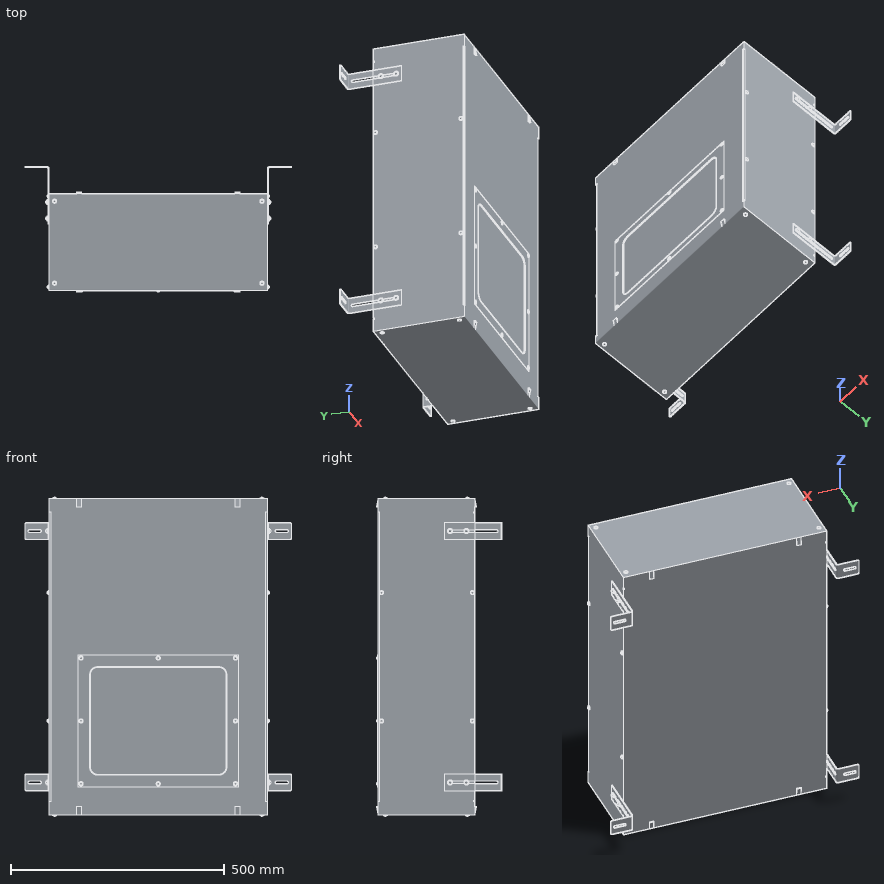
import cadquery as cq

body_width = 513.0
body_height = 743.0
front_y = -144.0
back_y = 84.0
body_depth = back_y - front_y
body_mid_y = (front_y + back_y) / 2
top_bend_radius = 1.35

rebate_width = 5.0
rebate_depth = 3.0
rebate_length = 680.0
relief_size = 3.0
relief_depth = 2.0

panel_width = 376.0
panel_height = 309.0
panel_thickness = 1.0
panel_z = -150.5
window_width = 322.0
window_height = 254.5
window_radius = 19.5
window_recess = 1.5
pane_recess = 2.0
pane_inset = 1.5

flange_height_share = 1 / 3
dome_width_share = 0.7
screw_diameter = 10.0
panel_screw_height = 2.6
panel_screw_x = 181.0
panel_screw_dz = 147.5
end_screw_height = 2.6
end_screw_x = 243.0
end_screw_y = (66.0, -126.5)
side_screw_height = 4.5
side_screw_y = (78.0, -135.5)
side_screw_z = 150.5

tab_x = 186.0
tab_width = 11.0
tab_length = 18.0
tab_end_gap = 2.0
tab_rise = 3.4

bracket_z = 295.0
bracket_height = 40.0
bracket_thickness = 2.0
bracket_bend_radius = 4.5
bracket_back_y = 147.1
bracket_front_y = 13.0
flange_end_x = 313.0
flange_corner_radius = 4.0
slot_width = 6.0
flange_slot_x = (275.0, 305.5)
web_slot_y = (20.0, 138.0)
bolt_y = (64.0, 25.5)
bolt_diameter = 12.0
bolt_height = 5.6

half_width = body_width / 2
half_height = body_height / 2

embed = 1.5


def box_between(x, y, z):
    """Box spanning the given (low, high) ranges."""
    size = (x[1] - x[0], y[1] - y[0], z[1] - z[0])
    return cq.Workplane("XY").box(*size, centered=False).translate((x[0], y[0], z[0]))


def dome_head(diameter, height, base, direction):
    """Screw head standing on a face: a flat flange, sunk slightly into the face, and a smaller dome."""
    flange_radius = diameter / 2
    flange_height = height * flange_height_share
    dome_base_radius = dome_width_share * flange_radius
    dome_rise = height - flange_height
    dome_radius = (dome_base_radius**2 + dome_rise**2) / (2 * dome_rise)
    head = (
        cq.Workplane("XZ")
        .moveTo(0, -embed)
        .lineTo(flange_radius, -embed)
        .lineTo(flange_radius, flange_height)
        .lineTo(dome_base_radius, flange_height)
        .radiusArc((0, height), -dome_radius)
        .close()
        .revolve(360, (0, 0), (0, 1))
    )
    plane = cq.Plane(origin=base, normal=direction)
    return head.val().moved(cq.Location(plane))


def make_body():
    body = cq.Workplane("XY").box(body_width, body_depth, body_height)
    body = body.translate((0, body_mid_y, 0))
    body = body.edges("<Y and |X").fillet(top_bend_radius)
    for side in (-1, 1):
        rebate = cq.Workplane("XY").box(2 * rebate_width, 2 * rebate_depth, rebate_length)
        body = body.cut(rebate.translate((side * half_width, front_y, 0)))
        for end in (-1, 1):
            relief = cq.Workplane("XY").box(2 * relief_depth, 2 * relief_size, relief_size)
            relief_z = end * (rebate_length - relief_size) / 2
            body = body.cut(relief.translate((side * half_width, back_y, relief_z)))
    return body


def add_window_panel(body):
    panel_y = front_y - panel_thickness
    panel = cq.Workplane("XY").box(panel_width, panel_thickness + embed, panel_height)
    panel = panel.translate((0, panel_y + (panel_thickness + embed) / 2, panel_z))
    body = body.union(panel)
    for inset, recess in ((0, window_recess), (pane_inset, pane_recess)):
        opening = cq.Workplane("XY").box(window_width - 2 * inset, 2 * recess, window_height - 2 * inset)
        opening = opening.edges("|Y").fillet(window_radius - inset)
        body = body.cut(opening.translate((0, panel_y, panel_z)))
    return body


def make_tab(side, end, face_y, outward):
    """Wedge that rises from the end of the body towards its middle."""
    inside_y = face_y - outward * embed
    tip_y = face_y + outward * tab_rise
    start_z = end * (half_height - tab_end_gap)
    tip_z = end * (half_height - tab_end_gap - tab_length)
    wedge = (
        cq.Workplane("YZ")
        .polyline([(inside_y, start_z), (face_y, start_z), (tip_y, tip_z), (inside_y, tip_z)])
        .close()
        .extrude(tab_width / 2, both=True)
    )
    return wedge.translate((side * tab_x, 0, 0))


def make_right_bracket():
    """Angle bracket on the +X side, centred on Z = 0, with slots in both legs."""
    web_x = (half_width, half_width + bracket_thickness)
    half_bracket = bracket_height / 2
    span_z = (-half_bracket, half_bracket)
    inner_radius = bracket_bend_radius - bracket_thickness
    web = box_between(web_x, (bracket_front_y, bracket_back_y), span_z)
    flange_y = (bracket_back_y - bracket_thickness, bracket_back_y)
    flange = box_between((half_width, flange_end_x), flange_y, span_z)
    flange = flange.edges(">X and |Y").fillet(flange_corner_radius)
    bracket = web.union(flange)
    bracket = bracket.edges(">Y and <X").fillet(bracket_bend_radius)
    inner_corner = cq.selectors.NearestToPointSelector((web_x[1], flange_y[0], 0))
    bracket = bracket.edges("|Z").edges(inner_corner).fillet(inner_radius)

    flange_slot = (
        cq.Workplane("XZ", origin=(sum(flange_slot_x) / 2, 0, 0))
        .slot2D(flange_slot_x[1] - flange_slot_x[0], slot_width)
        .extrude(-2 * bracket_back_y)
    )
    web_slot = (
        cq.Workplane("YZ", origin=(half_width, sum(web_slot_y) / 2, 0))
        .slot2D(web_slot_y[1] - web_slot_y[0], slot_width)
        .extrude(bracket_thickness)
    )
    bracket = bracket.cut(flange_slot).cut(web_slot)
    for y in bolt_y:
        bolt = dome_head(bolt_diameter, bolt_height, (web_x[1], y, 0), (1, 0, 0))
        shank = (
            cq.Workplane("YZ", origin=(half_width - embed, y, 0))
            .circle(slot_width / 2)
            .extrude(bracket_thickness + embed)
        )
        bracket = bracket.union(shank).union(cq.Workplane(bolt))
    return bracket


def panel_screws():
    face_y = front_y - panel_thickness
    heads = []
    for column in (-1, 0, 1):
        for row in (-1, 0, 1):
            if column or row:
                base = (column * panel_screw_x, face_y, panel_z + row * panel_screw_dz)
                heads.append(dome_head(screw_diameter, panel_screw_height, base, (0, -1, 0)))
    return heads


def end_and_side_screws():
    heads = []
    for side in (-1, 1):
        for end in (-1, 1):
            for y in end_screw_y:
                base = (side * end_screw_x, y, end * half_height)
                heads.append(dome_head(screw_diameter, end_screw_height, base, (0, 0, end)))
            for y in side_screw_y:
                base = (side * half_width, y, end * side_screw_z)
                heads.append(dome_head(screw_diameter, side_screw_height, base, (side, 0, 0)))
    return heads


result = add_window_panel(make_body())
right_bracket = make_right_bracket()
left_bracket = right_bracket.mirror("YZ")
for end in (-1, 1):
    for bracket in (left_bracket, right_bracket):
        result = result.union(bracket.translate((0, 0, end * bracket_z)))
    for side in (-1, 1):
        result = result.union(make_tab(side, end, front_y, -1))
        result = result.union(make_tab(side, end, back_y, 1))
for head in panel_screws() + end_and_side_screws():
    result = result.union(cq.Workplane(head))